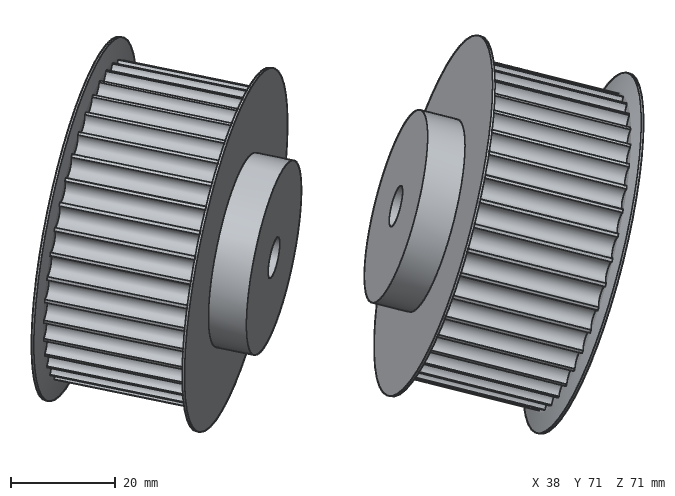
import cadquery as cq
import math

total_length = 38.0
flanged_length = 30.45
flange_thickness = 1.2
flange_rim_width = 0.5
belt_width = flanged_length - 2 * flange_thickness

flange_diameter = 71.0
flange_seat_diameter = 63.2
crest_diameter = 62.5
hub_diameter = 38.0
bore_diameter = 8.0

tooth_count = 40
crest_width = 0.7
groove_depth = 2.05

crest_radius = crest_diameter / 2
root_radius = crest_radius - groove_depth
pitch_angle = 2 * math.pi / tooth_count
groove_half_angle = pitch_angle / 2 - crest_width / crest_diameter


def polar(radius, angle):
    """Point in the plane across the axis, with the angle measured from +Y."""
    return (radius * math.cos(angle), radius * math.sin(angle))


def toothed_body():
    """Belt section between the flanges, with one groove centred on +Y."""
    outline = cq.Workplane("YZ", origin=(flange_thickness, 0, 0))
    outline = outline.moveTo(*polar(crest_radius, -groove_half_angle))
    for tooth in range(tooth_count):
        groove_angle = tooth * pitch_angle
        crest_angle = groove_angle + pitch_angle / 2
        outline = outline.threePointArc(
            polar(root_radius, groove_angle),
            polar(crest_radius, groove_angle + groove_half_angle),
        )
        outline = outline.threePointArc(
            polar(crest_radius, crest_angle),
            polar(crest_radius, groove_angle + pitch_angle - groove_half_angle),
        )
    return outline.close().extrude(belt_width)


def flange(outer_face_x, inward):
    """Disc with a cylindrical rim and a conical inner side; inward is +1 or -1 along X."""
    rim_x = outer_face_x + inward * flange_rim_width
    seat_x = outer_face_x + inward * flange_thickness
    half_section = [
        (outer_face_x, 0),
        (outer_face_x, flange_diameter / 2),
        (rim_x, flange_diameter / 2),
        (seat_x, flange_seat_diameter / 2),
        (seat_x, 0),
    ]
    return cq.Workplane("XY").polyline(half_section).close().revolve(360, (0, 0, 0), (1, 0, 0))


def cylinder(diameter, start_x, end_x):
    """Round bar on the pulley axis."""
    return cq.Workplane("YZ", origin=(start_x, 0, 0)).circle(diameter / 2).extrude(end_x - start_x)


hub = cylinder(hub_diameter, flanged_length, total_length)
bore = cylinder(bore_diameter, 0, total_length)

pulley = toothed_body()
pulley = pulley.union(flange(0, 1))
pulley = pulley.union(flange(flanged_length, -1))
pulley = pulley.union(hub)
result = pulley.cut(bore)